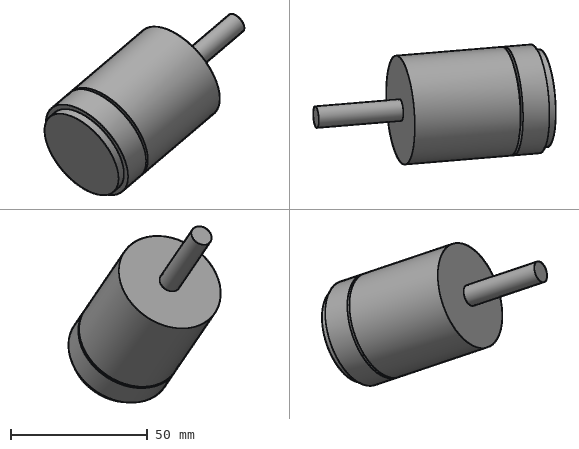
import cadquery as cq

face_diameter = 36.0
body_diameter = 40.0
groove_diameter = 34.0
shaft_diameter = 8.0

face_length = 3.0
ring_length = 10.0
groove_width = 1.0
body_length = 40.0
shaft_length = 32.0

sections = [
    (face_diameter, face_length),
    (body_diameter, ring_length),
    (groove_diameter, groove_width),
    (body_diameter, body_length),
    (shaft_diameter, shaft_length),
]


def half_profile(steps):
    """Closed outline between the Y axis and the stepped outer surface."""
    outline = cq.Workplane("XY").moveTo(0, 0)
    end = 0.0
    for diameter, length in steps:
        radius = diameter / 2
        outline = outline.lineTo(radius, end)
        end += length
        outline = outline.lineTo(radius, end)
    return outline.lineTo(0, end).close()


result = half_profile(sections).revolve(360, (0, 0, 0), (0, 1, 0))